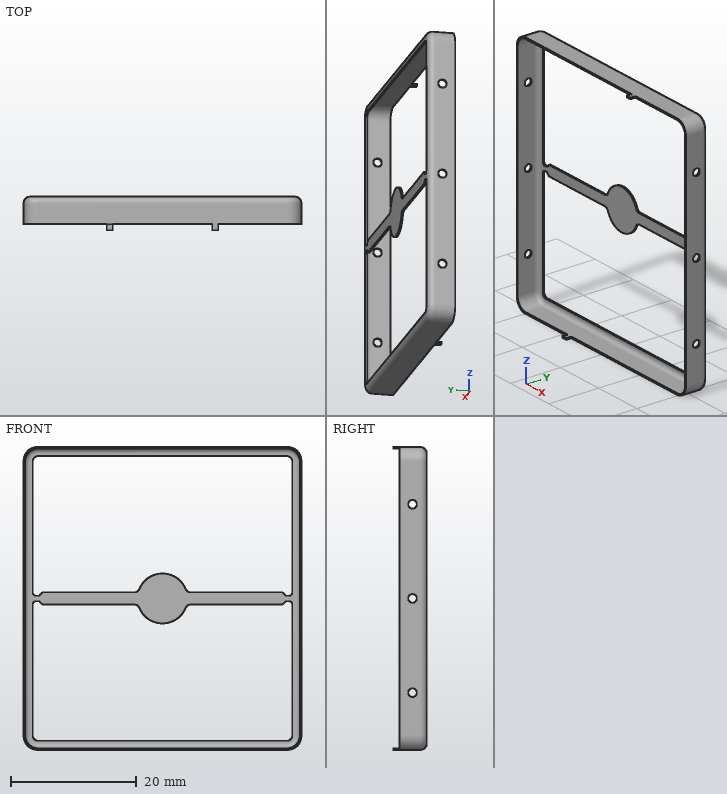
import cadquery as cq
import math

width = 44.3
height = 48.3
depth = 4.4
wall = 0.3
corner_radius = 2.3
bend_radius = 1.1
lip = 1.5

bar_height = 2.0
disc_diameter = 8.0
disc_blend_radius = 0.8
neck_height = 0.9
neck_length = 1.0
neck_root_radius = 0.5

tab_width = 1.0
tab_length = 1.0
tab_offset = 8.4

hole_diameter = 1.35
hole_pitch = 15.0
hole_rim_distance = 2.1

rim_y = -depth
window_width = width - 2 * lip
window_height = height - 2 * lip


def rounded_block(size_x, size_z, radius, y_from, y_to):
    """Block with rounded corners in XZ, between two Y positions."""
    return (
        cq.Workplane("XZ", origin=(0, y_to, 0))
        .rect(size_x, size_z)
        .extrude(y_to - y_from)
        .edges("|Y")
        .fillet(radius)
    )


def make_tray():
    """Thin shell whose floor bends smoothly into the side walls."""
    outer = rounded_block(width, height, corner_radius, rim_y, 0)
    outer = outer.faces(">Y").edges().fillet(bend_radius)
    inner = rounded_block(
        width - 2 * wall, height - 2 * wall, corner_radius - wall, rim_y, -wall
    )
    inner = inner.faces(">Y").edges().fillet(bend_radius - wall)
    return outer.cut(inner)


def cut_window(tray):
    """Open the floor, leaving the lip all round."""
    window = rounded_block(window_width, window_height, corner_radius - lip, -wall, 0)
    return tray.cut(window)


def make_crossbar():
    """Bar with a central disc and a narrow neck at each end.

    The bar ends taper at 45 degrees to the neck height, and the necks flare into the lip.
    """
    plane = cq.Workplane("XZ")
    bar_length = window_width - 2 * neck_length
    shoulder = (bar_height - neck_height) / 2
    bar = plane.rect(bar_length, bar_height).extrude(wall).edges("|Y").chamfer(shoulder)
    disc = plane.circle(disc_diameter / 2).extrude(wall)
    joint_x = math.sqrt(disc_diameter**2 - bar_height**2) / 2
    joint_reach = disc_blend_radius
    bar = bar.union(disc)
    for side in (-1, 1):
        joint_box = cq.selectors.BoxSelector(
            (side * (joint_x - joint_reach), -wall, -bar_height),
            (side * (joint_x + joint_reach), 0, bar_height),
        )
        bar = bar.edges("|Y").edges(joint_box).fillet(disc_blend_radius)

    neck_half = neck_height / 2
    root_x = window_width / 2
    neck_overlap = (lip - bend_radius) / 2
    neck = plane.rect(window_width + 2 * neck_overlap, neck_height).extrude(wall)
    bar = bar.union(neck)
    for side_x in (-1, 1):
        for side_z in (-1, 1):
            gusset = (
                plane.moveTo(side_x * root_x, side_z * neck_half)
                .lineTo(side_x * root_x, side_z * (neck_half + neck_root_radius))
                .radiusArc(
                    (side_x * (root_x - neck_root_radius), side_z * neck_half),
                    side_x * side_z * neck_root_radius,
                )
                .close()
                .extrude(wall)
            )
            bar = bar.union(gusset)
    return bar


def add_tabs(frame):
    """One tab on the top wall at +X and one on the bottom wall at -X."""
    for side in (-1, 1):
        tab = cq.Workplane("XY").box(tab_width, tab_length + wall, wall).translate(
            (
                side * tab_offset,
                rim_y - (tab_length - wall) / 2,
                side * (height - wall) / 2,
            )
        )
        frame = frame.union(tab)
    return frame


def drill_side_holes(frame):
    """Row of holes along Z through both side walls."""
    holes = (
        cq.Workplane("YZ", origin=(-width / 2, 0, 0))
        .pushPoints([(rim_y + hole_rim_distance, row * hole_pitch) for row in (-1, 0, 1)])
        .circle(hole_diameter / 2)
        .extrude(width)
    )
    return frame.cut(holes)


frame = cut_window(make_tray())
frame = frame.union(make_crossbar())
frame = add_tabs(frame)
result = drill_side_holes(frame)